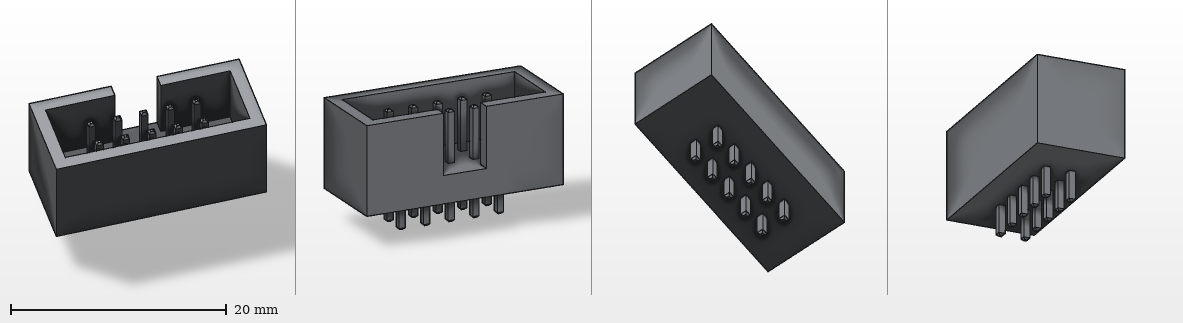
import cadquery as cq

length = 20.32
width = 8.9
height = 8.9
wall = 1.24
floor = 2.8

notch_width = 4.43

rows = 5
columns = 2
pitch = 2.55
pin_side = 0.65
pin_top = 8.0
pin_bottom = -3.0
tip_bevel = 0.2



def block(x_size, y_size, z_low, z_high):
    """Box centred on the Z axis between two heights."""
    return cq.Workplane("XY").workplane(offset=z_low).rect(x_size, y_size).extrude(z_high - z_low)


def make_housing():
    body = block(width, length, 0, height)
    cavity = block(width - 2 * wall, length - 2 * wall, floor, height)
    notch = block(wall, notch_width, floor, height).translate(((wall - width) / 2, 0, 0))
    return body.cut(cavity).cut(notch)


def make_pin():
    """Square pin with both ends bevelled on all four sides."""
    pin = block(pin_side, pin_side, pin_bottom, pin_top)
    return pin.faces("<Z or >Z").chamfer(tip_bevel)


result = make_housing()
pin = make_pin()
for column in range(columns):
    for row in range(rows):
        x = (column - (columns - 1) / 2) * pitch
        y = (row - (rows - 1) / 2) * pitch
        result = result.union(pin.translate((x, y, 0)))